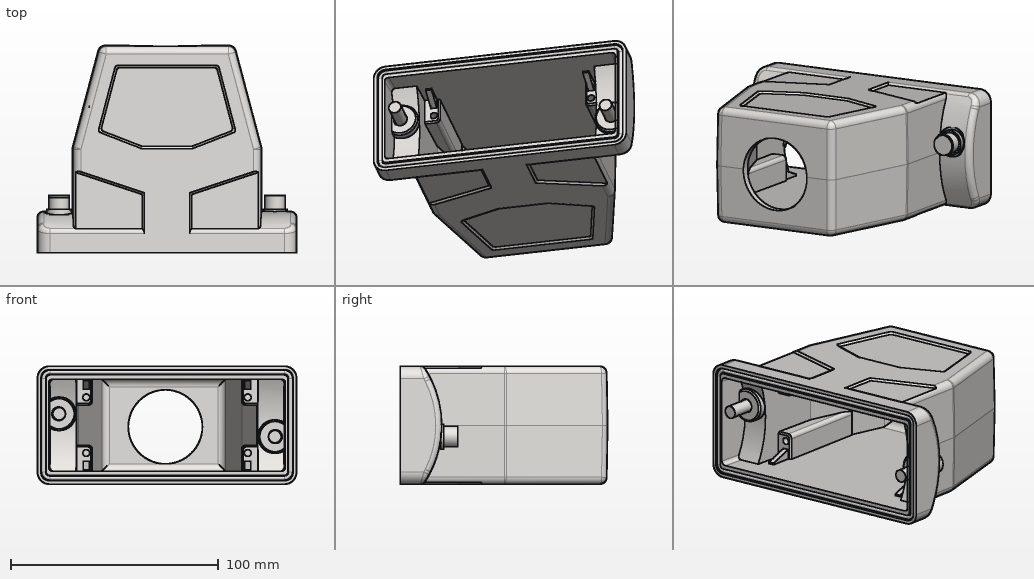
import cadquery as cq

length = 125.0
depth = 100.0
height = 57.0
front = -depth / 2
rear = depth / 2
half_height = height / 2

margin = 1.0

flange_corner = 6.0
flange_edge_round = 3.0
flange_peak = 20.0
arch_radius = 50.0
arch_axis_y = front + flange_peak - arch_radius

hood_half_width = 45.6
hood_rear_half_width = 32.5
shoulder_y = 0.6
hood_front = front + 2
hood_round = 3.6
shoulder_round = 4.0
draft = 1.0

mouth_half_width = 57.1
mouth_back_half_width = 56.0
inside_half_height = 22.2
mouth_corner = 2.0
arch_wall = 3.0
cavity_rear = rear - 4.0
cavity_front_half_width = 44.1
cavity_shoulder_half_width = 42.8
cavity_left_rear = 30.6
cavity_right_bend = (43.3, -7.0)
cavity_right_kink = (36.0, 13.0)
cavity_right_rear = 27.4
cavity_round = 3.7

entry_diameter = 35.6
entry_x = -0.8
entry_z = -0.8

panel_depth = 1.0
corner_reach = 1.5
corner_margin = 0.1
panel_wall_angle = 48.0
label_corner = 2.4
grip_corner = 1.2
label_top = 40.4
label_top_half_width = 24.8
label_side_y = 8.4
label_side_half_width = 33.2
label_tip_y = 0.3
label_tip_half_width = 12.3
grip_inner_x = 10.9
grip_inner_y = -21.0
grip_outer_x = hood_half_width + 10
grip_outer_y = -6.2
grip_front = -46.0

post_inner_x = 36.0
post_inner_z = 9.7
post_front = -23.4
post_length = 48.0
post_corner = 2.0
post_hole_x = 38.9
post_hole_z = 13.4
post_hole_diameter = 3.3
post_hole_depth = 12.0
post_chamfer = 0.8
rib_width = 2.9
rib_inner_z = 17.4
rib_tip = -34.6
rib_tip_height = 0.8

groove_margin = 1.7
groove_width = 2.6
groove_depth = 3.0
gasket_clearance = 0.3

screw_x = 52.0
screw_z = 5.5
stud_diameter = 6.0
stud_length = 18.4
head_diameter = 10.0
head_top = -22.3
collar_diameter = 12.0
collar_rise = 1.0
collar_top = front + flange_peak + collar_rise
collar_thickness = 1.4
cap_thickness = 1.2
right_seat_y = collar_top - collar_thickness
left_seat_y = right_seat_y - cap_thickness

seat_diameter = 14.4
stud_hole_diameter = 6.6
stud_hole_x = 52.2
inner_boss_diameter = 16.2
inner_boss_front = -37.3
inner_boss_chamfer = 0.8

screw_seats = [(-1, left_seat_y), (1, right_seat_y)]


def rear_facing_plane(y):
    """Workplane across Y at the given position; its local vertical runs along -Z."""
    return cq.Workplane(cq.Plane(origin=(0, y, 0), xDir=(1, 0, 0), normal=(0, 1, 0)))


def y_cylinder(diameter, x, z, y_start, y_end):
    """Cylinder along Y between two Y positions."""
    return rear_facing_plane(y_start).center(x, -z).circle(diameter / 2).extrude(y_end - y_start)


def arch(radius):
    """Cylinder along X that limits the flange behind."""
    return cq.Workplane("YZ").center(arch_axis_y, 0).circle(radius).extrude(length / 2, both=True)


def rounded_block(inset, corner, y_start, y_end):
    """Rounded rectangle a given inset inside the flange outline, extruded along Y."""
    block = rear_facing_plane(y_start).rect(length - 2 * inset, height - 2 * inset).extrude(y_end - y_start)
    return block.edges("|Y").fillet(corner)


def make_ring(inset, width, y_start, y_end):
    """Rectangular ring a given inset inside the flange outline."""
    outer = rounded_block(inset, flange_corner - inset, y_start, y_end)
    inner = rounded_block(inset + width, flange_corner - inset - width, y_start, y_end)
    return outer.cut(inner)


def make_flange():
    """Rounded frame with an arched, rounded-over back."""
    block = rounded_block(0, flange_corner, front, front + flange_peak + margin)
    arched = block.intersect(arch(arch_radius))
    return arched.faces(">Y").edges().fillet(flange_edge_round)


def make_hood_shell():
    """Solid hood, drafted and rounded away from the middle plane on both halves."""
    outline = [
        (-hood_half_width, hood_front),
        (-hood_half_width, shoulder_y),
        (-hood_rear_half_width, rear),
        (hood_rear_half_width, rear),
        (hood_half_width, shoulder_y),
        (hood_half_width, hood_front),
    ]
    upper = cq.Workplane("XY").polyline(outline).close().extrude(half_height, taper=draft)
    rear_corners = cq.selectors.BoxSelector(
        (-hood_half_width, rear - margin, margin), (hood_half_width, rear + margin, half_height - margin)
    )
    upper = upper.edges(rear_corners).fillet(hood_round)
    shoulders = cq.selectors.BoxSelector(
        (-hood_half_width - margin, shoulder_y - margin, margin),
        (hood_half_width + margin, shoulder_y + margin, half_height - margin),
    )
    upper = upper.edges(shoulders).fillet(shoulder_round)
    upper = upper.faces(">Z").edges("not <Y").fillet(hood_round)
    return upper.union(upper.mirror("XY"))


def panel_cutter(points, corners, corner_radius):
    """Cutter for a sunken panel with sloping walls; the listed corners are rounded."""
    cutter = (
        cq.Workplane("XY", origin=(0, 0, half_height))
        .polyline(points)
        .close()
        .extrude(-panel_depth, taper=panel_wall_angle)
    )
    for x, y in corners:
        near_corner = cq.selectors.BoxSelector(
            (x - corner_reach, y - corner_reach, half_height - panel_depth + corner_margin),
            (x + corner_reach, y + corner_reach, half_height - corner_margin),
        )
        cutter = cutter.edges(near_corner).fillet(corner_radius)
    return cutter


def cut_panels(shell):
    """Sink the label panel and the two grip panels into both large faces."""
    label_corners = [
        (-label_top_half_width, label_top),
        (label_top_half_width, label_top),
        (label_side_half_width, label_side_y),
        (-label_side_half_width, label_side_y),
    ]
    label_points = label_corners[:3] + [
        (label_tip_half_width, label_tip_y),
        (-label_tip_half_width, label_tip_y),
    ] + label_corners[3:]
    left_points = [
        (-grip_inner_x, grip_front),
        (-grip_inner_x, grip_inner_y),
        (-grip_outer_x, grip_outer_y),
        (-grip_outer_x, grip_front),
    ]
    left = panel_cutter(left_points, [(-grip_inner_x, grip_inner_y)], grip_corner)
    cutters = [panel_cutter(label_points, label_corners, label_corner), left, left.mirror("YZ")]
    for cutter in cutters:
        shell = shell.cut(cutter).cut(cutter.mirror("XY"))
    return shell


def make_mouth():
    """Wide pocket behind the mating face, ending at the inner arched wall."""
    back = front + flange_peak
    outline = [
        (-mouth_half_width, front),
        (-mouth_back_half_width, back),
        (mouth_back_half_width, back),
        (mouth_half_width, front),
    ]
    pocket = cq.Workplane("XY").polyline(outline).close().extrude(inside_half_height, both=True)
    pocket = pocket.edges("not #Y").fillet(mouth_corner)
    return pocket.intersect(arch(arch_radius - arch_wall))


def make_cavity():
    """Deep pocket running back to the cable entry wall."""
    outline = [
        (-cavity_front_half_width, front + arch_wall),
        (-cavity_shoulder_half_width, shoulder_y),
        (-cavity_left_rear, cavity_rear),
        (cavity_right_rear, cavity_rear),
        cavity_right_kink,
        cavity_right_bend,
        (cavity_front_half_width, front + arch_wall),
    ]
    cavity = cq.Workplane("XY").polyline(outline).close().extrude(inside_half_height, both=True)
    return cavity.faces(">Y").edges().fillet(cavity_round)


def make_post():
    """Post in the +X, +Z corner of the cavity."""
    width = hood_half_width - post_inner_x
    post = (
        cq.Workplane("XY", origin=(post_inner_x, post_front, post_inner_z))
        .box(width, post_length, half_height - post_inner_z, centered=False)
    )
    post = post.edges("|Y and <X and <Z").fillet(post_corner)
    post = post.faces("<Y").chamfer(post_chamfer)
    hole = y_cylinder(post_hole_diameter, post_hole_x, post_hole_z, post_front, post_front + post_hole_depth)
    return post.cut(hole)


def make_rib():
    """Guide rib on the wall in front of a post, tapering toward the mating face."""
    wall_z = inside_half_height
    profile = [
        (post_front, rib_inner_z),
        (rib_tip, wall_z - rib_tip_height),
        (rib_tip, wall_z + margin),
        (post_front, wall_z + margin),
    ]
    return (
        cq.Workplane("YZ", origin=(post_hole_x, 0, 0))
        .polyline(profile)
        .close()
        .extrude(rib_width / 2, both=True)
    )


def four_corners(body):
    """Copies of a +X, +Z body in all four corners."""
    row = [body, body.mirror("YZ")]
    return row + [each.mirror("XY") for each in row]


def make_housing():
    housing = cut_panels(make_hood_shell()).union(make_flange())

    inside = make_cavity()
    for post in four_corners(make_post()):
        inside = inside.cut(post)
    inside = inside.union(make_mouth())
    for rib in four_corners(make_rib()):
        inside = inside.cut(rib)
    for side, seat_y in screw_seats:
        boss = y_cylinder(inner_boss_diameter, side * screw_x, -side * screw_z, inner_boss_front, seat_y)
        inside = inside.cut(boss.faces("<Y").chamfer(inner_boss_chamfer))
    housing = housing.cut(inside)

    for side, seat_y in screw_seats:
        z = -side * screw_z
        seat = y_cylinder(seat_diameter, side * screw_x, z, seat_y, collar_top)
        hole = y_cylinder(stud_hole_diameter, side * stud_hole_x, z, inner_boss_front, seat_y)
        housing = housing.cut(seat).cut(hole)

    entry = y_cylinder(entry_diameter, entry_x, entry_z, cavity_rear, rear)
    housing = housing.cut(entry)
    return housing.cut(make_ring(groove_margin, groove_width, front, front + groove_depth))


def make_gasket():
    """Seal lying in the groove, with a half-round crest level with the mating face."""
    radius = groove_width / 2 - gasket_clearance
    centre_margin = groove_margin + groove_width / 2
    middle_x = length / 2 - centre_margin
    groove_bottom = front + groove_depth
    path = (
        rear_facing_plane(groove_bottom)
        .rect(2 * middle_x, height - 2 * centre_margin)
        .extrude(groove_depth)
        .edges("|Y")
        .fillet(flange_corner - centre_margin)
        .faces("<Y")
        .wires()
    )
    profile = (
        cq.Workplane("XY")
        .moveTo(middle_x - radius, groove_bottom)
        .lineTo(middle_x - radius, front + radius)
        .threePointArc((middle_x, front), (middle_x + radius, front + radius))
        .lineTo(middle_x + radius, groove_bottom)
        .close()
    )
    return profile.sweep(path)


def make_screw(side, seat_y, head_end):
    """Locking screw: stud, collar resting on its seat, and head ending at head_end."""
    x = side * screw_x
    z = -side * screw_z
    stud = y_cylinder(stud_diameter, x, z, seat_y - stud_length, seat_y)
    collar = y_cylinder(collar_diameter, x, z, seat_y, collar_top)
    head = y_cylinder(head_diameter, x, z, collar_top, head_end)
    return stud.union(collar).union(head)


def make_cap():
    """Disc closing the head of the left screw."""
    return y_cylinder(head_diameter, -screw_x, screw_z, head_top - cap_thickness, head_top)


housing = make_housing()
gasket = make_gasket()
left_screw = make_screw(-1, left_seat_y, head_top - cap_thickness)
right_screw = make_screw(1, right_seat_y, head_top)
cap = make_cap()

result = cq.Compound.makeCompound([
    housing.solids().val(),
    gasket.solids().val(),
    left_screw.solids().val(),
    right_screw.solids().val(),
    cap.solids().val(),
])